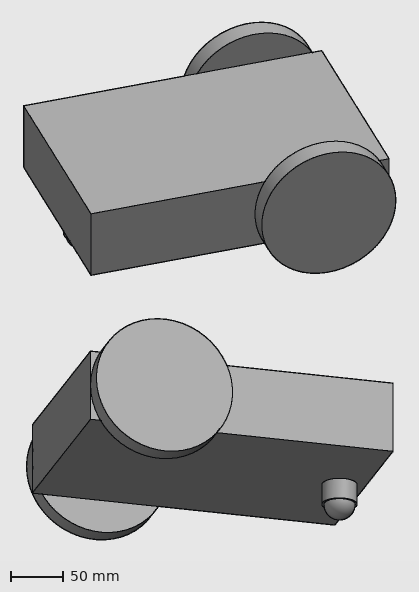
import cadquery as cq

chassis_length = 300.0
chassis_height = 70.0
overall_width = 240.0
wheel_thickness = 20.0
chassis_width = overall_width - 2 * wheel_thickness

wheel_diameter = 135.0
axle_y = chassis_length / 2 - wheel_diameter / 2

post_diameter = 33.5
post_height = 20.0
ball_radius = 15.0
caster_x = -2.5
caster_front_inset = 25.0
caster_y = -chassis_length / 2 + caster_front_inset


def make_chassis():
    return cq.Workplane("XY").box(chassis_width, chassis_length, chassis_height)


def make_wheel(inner_x):
    """Disc with its axle along X, starting at inner_x and reaching toward +X."""
    return (
        cq.Workplane("YZ", origin=(inner_x, axle_y, 0))
        .circle(wheel_diameter / 2)
        .extrude(wheel_thickness)
    )


def make_caster():
    """Revolve the post and half ball about the vertical caster axis."""
    post_radius = post_diameter / 2
    ball_mid = ball_radius * 0.5 ** 0.5
    return (
        cq.Workplane("XZ", origin=(caster_x, caster_y, -chassis_height / 2))
        .lineTo(post_radius, 0)
        .lineTo(post_radius, -post_height)
        .lineTo(ball_radius, -post_height)
        .threePointArc((ball_mid, -post_height - ball_mid), (0, -post_height - ball_radius))
        .close()
        .revolve(360, (0, 0, 0), (0, 1, 0))
    )


chassis = make_chassis()
wheel_starts = (-overall_width / 2, chassis_width / 2)
wheels = [make_wheel(start_x).val() for start_x in wheel_starts]
caster = make_caster()

result = cq.Compound.makeCompound([chassis.val(), *wheels, caster.val()])